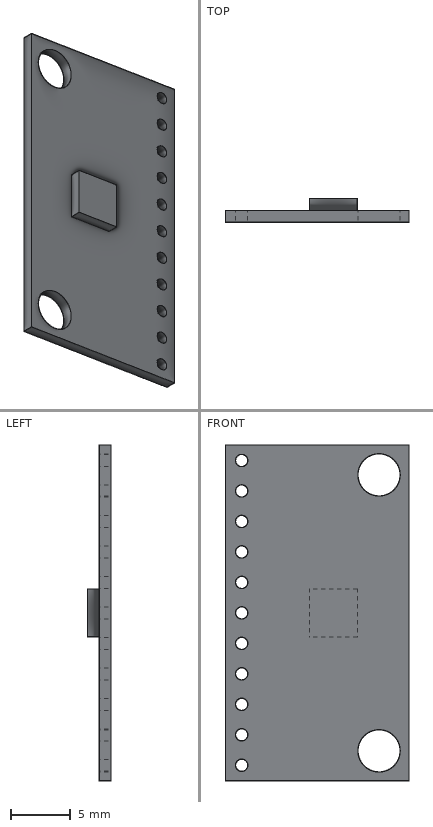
import cadquery as cq

board_width = 15.3
board_thickness = 1.0
board_height = 28.0

pin_count = 11
pin_pitch = 2.54
pin_diameter = 1.0
pin_edge_distance = 1.35

mount_count = 2
mount_diameter = 3.5
mount_edge_distance = 2.5
mount_spacing = 23.0

chip_side = 4.0
chip_thickness = 1.0
chip_offset_x = 1.35

front_y = -(board_thickness + chip_thickness) / 2
back_y = front_y + board_thickness


def block(width, height, thickness, center_x, start_y):
    """Box centred on Z that grows toward +Y from start_y."""
    return (
        cq.Workplane("XY")
        .box(width, thickness, height, centered=(True, False, True))
        .translate((center_x, start_y, 0))
    )


def through_holes(diameter, center_x, count, pitch):
    """Vertical row of cylinders crossing the board, centred on Z."""
    first_z = -(count - 1) * pitch / 2
    centers = [(center_x, first_z + i * pitch) for i in range(count)]
    return (
        cq.Workplane("XZ", origin=(0, back_y, 0))
        .pushPoints(centers)
        .circle(diameter / 2)
        .extrude(board_thickness)
    )


board = block(board_width, board_height, board_thickness, 0, front_y)
pin_x = -board_width / 2 + pin_edge_distance
mount_x = board_width / 2 - mount_edge_distance
board = board.cut(through_holes(pin_diameter, pin_x, pin_count, pin_pitch))
board = board.cut(through_holes(mount_diameter, mount_x, mount_count, mount_spacing))

chip = block(chip_side, chip_side, chip_thickness, chip_offset_x, back_y)

result = board.union(chip)